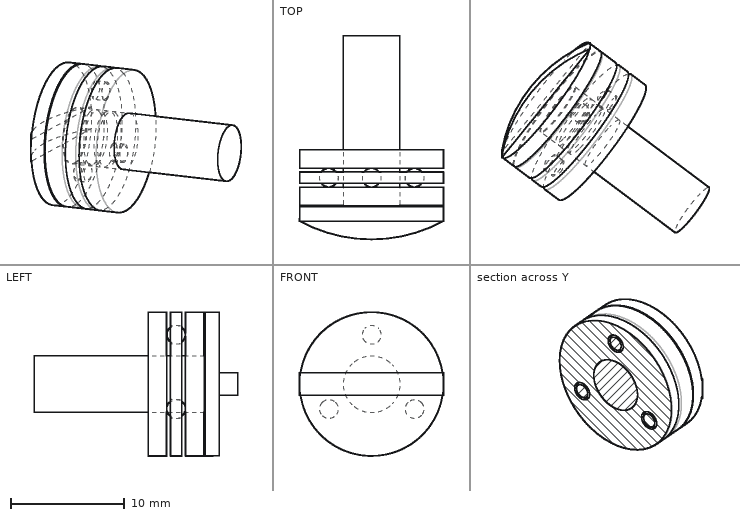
import cadquery as cq
import math


disc_diameter = 12.7
disc_radius = disc_diameter / 2
shaft_diameter = 5.0
shaft_free_length = 10.05

race_thickness = 1.65
edge_fillet = 0.03
ball_diameter = 1.65
ball_count = 3
ball_circle_radius = 4.36
first_ball_angle = 90.0
cage_thickness = 1.0

head_clearance = 0.08
head_thickness = 1.27
grip_height = 1.63
grip_width = 2.0

rear_race_back = 0.0
rear_race_face = rear_race_back - race_thickness
ball_center_y = rear_race_face - ball_diameter / 2
cage_back = ball_center_y + cage_thickness / 2
front_race_back = rear_race_face - ball_diameter
front_race_face = front_race_back - race_thickness
head_back = front_race_face - head_clearance
head_face = head_back - head_thickness
grip_crown = head_face - grip_height


def disc(back_y, thickness, diameter):
    """Plain cylinder along Y that runs from back_y toward the head."""
    return cq.Workplane("XZ", origin=(0, back_y, 0)).circle(diameter / 2).extrude(thickness)


def bored_disc(back_y, thickness):
    """Disc with broken outer edges and a bore that fits the shaft."""
    blank = disc(back_y, thickness, disc_diameter).edges().fillet(edge_fillet)
    return blank.cut(disc(back_y, thickness, shaft_diameter))


def ball_centers():
    """(x, z) of each ball, evenly spaced on the ball circle."""
    centers = []
    for index in range(ball_count):
        angle = math.radians(first_ball_angle + index * 360.0 / ball_count)
        centers.append((ball_circle_radius * math.cos(angle), ball_circle_radius * math.sin(angle)))
    return centers


def make_screw():
    """Shaft, round head and arched grip in one piece."""
    shaft_length = shaft_free_length - head_back
    shaft = disc(shaft_free_length, shaft_length, shaft_diameter)
    head = disc(head_back, head_thickness, disc_diameter)
    grip = (
        cq.Workplane("XY")
        .moveTo(-disc_radius, head_face)
        .threePointArc((0, grip_crown), (disc_radius, head_face))
        .close()
        .extrude(grip_width / 2, both=True)
    )
    return shaft.union(head).union(grip)


def make_race(back_y):
    """Flat bearing washer."""
    return bored_disc(back_y, race_thickness)


def make_cage():
    """Ring between the races with a round pocket for each ball."""
    pockets = (
        cq.Workplane("XZ", origin=(0, cage_back, 0))
        .pushPoints(ball_centers())
        .circle(ball_diameter / 2)
        .extrude(cage_thickness)
    )
    return bored_disc(cage_back, cage_thickness).cut(pockets)


def make_ball(x, z):
    """Ball held in a cage pocket, touching both races."""
    return cq.Workplane("XY").sphere(ball_diameter / 2).translate((x, ball_center_y, z))


screw = make_screw()
races = [make_race(back_y) for back_y in (rear_race_back, front_race_back)]
cage = make_cage()
balls = [make_ball(x, z) for x, z in ball_centers()]

result = cq.Compound.makeCompound([
    screw.val(),
    *[race.val() for race in races],
    cage.val(),
    *[ball.val() for ball in balls],
])